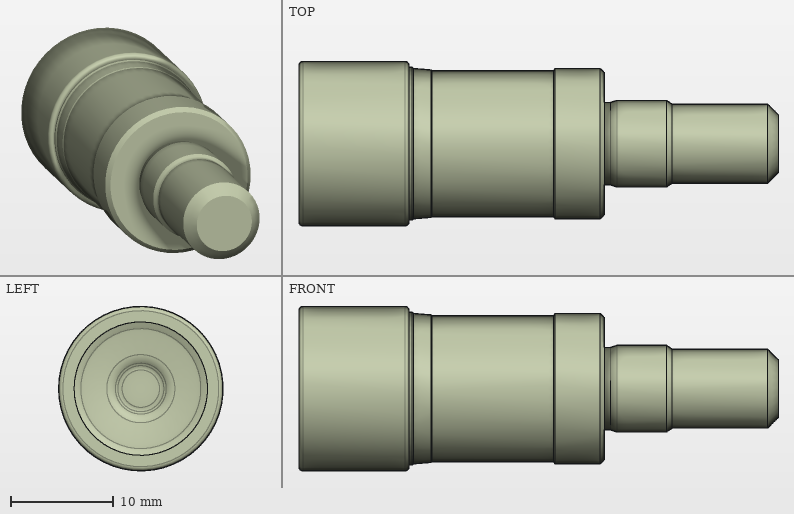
import cadquery as cq

CAP_BACK = 10.8
FLANGE_END = 11.1
TAPER_START = 11.25
TAPER_END = 12.9
BARREL_START = 13.05
BARREL_END = 24.95
COLLAR_START = 25.1
COLLAR_END = 29.95
RELIEF_END = 30.5
SHOULDER_START = 31.15
SHOULDER_END = 36.0
SHANK_START = 36.55
TOTAL_LENGTH = 47.0

CAP_RADIUS = 16.1 / 2
CAP_EDGE = 0.4
RECESS_MOUTH_RADIUS = 6.55
RECESS_FLOOR_RADIUS = 5.87
RECESS_DEPTH = 0.3
DISH_INNER_RADIUS = 3.35
DISH_INNER_DEPTH = 0.55
LIP_END_RADIUS = 2.5
LIP_DROP = 0.35
DIMPLE_CONE_RADIUS = 2.25
DIMPLE_CONE_DEPTH = 1.0
DIMPLE_FLOOR_RADIUS = 1.85
DIMPLE_DEPTH = 1.05

FLANGE_RADIUS = 15.0 / 2
TAPER_RADIUS = 14.75 / 2
TAPER_END_RADIUS = 7.25
BARREL_RADIUS = 14.35 / 2
COLLAR_RADIUS = 14.75 / 2
COLLAR_CHAMFER = 0.4
RELIEF_RADIUS = 4.05
SHOULDER_RADIUS = 8.5 / 2
SHANK_RADIUS = 7.75 / 2
SHANK_CHAMFER = 1.1


def revolve_about_x(profile):
    """Spin a closed half profile (x, radius) a full turn about the X axis."""
    return profile.close().revolve(360, (0, 0, 0), (1, 0, 0))


def make_cap():
    """Round pad whose front is dished, with a rounded-lip dimple at its centre."""
    profile = (
        cq.Workplane("XY")
        .moveTo(0, RECESS_MOUTH_RADIUS)
        .lineTo(RECESS_DEPTH, RECESS_FLOOR_RADIUS)
        .lineTo(DISH_INNER_DEPTH, DISH_INNER_RADIUS)
        .tangentArcPoint((DISH_INNER_DEPTH + LIP_DROP, LIP_END_RADIUS), relative=False)
        .lineTo(DIMPLE_CONE_DEPTH, DIMPLE_CONE_RADIUS)
        .tangentArcPoint((DIMPLE_DEPTH, DIMPLE_FLOOR_RADIUS), relative=False)
        .lineTo(DIMPLE_DEPTH, 0)
        .lineTo(CAP_BACK, 0)
        .lineTo(CAP_BACK, CAP_RADIUS)
        .lineTo(0, CAP_RADIUS)
    )
    cap = revolve_about_x(profile)
    outer_rims = cq.selectors.RadiusNthSelector(-1)
    return cap.edges("%CIRCLE").edges(outer_rims).fillet(CAP_EDGE)


def make_plunger():
    """Turned body seated against the cap, with a collar and a stepped shank."""
    outline = [
        (CAP_BACK, 0),
        (CAP_BACK, FLANGE_RADIUS),
        (FLANGE_END, FLANGE_RADIUS),
        (TAPER_START, TAPER_RADIUS),
        (TAPER_END, TAPER_END_RADIUS),
        (BARREL_START, BARREL_RADIUS),
        (BARREL_END, BARREL_RADIUS),
        (COLLAR_START, COLLAR_RADIUS),
        (COLLAR_END - COLLAR_CHAMFER, COLLAR_RADIUS),
        (COLLAR_END, COLLAR_RADIUS - COLLAR_CHAMFER),
        (COLLAR_END, RELIEF_RADIUS),
        (RELIEF_END, RELIEF_RADIUS),
        (SHOULDER_START, SHOULDER_RADIUS),
        (SHOULDER_END, SHOULDER_RADIUS),
        (SHANK_START, SHANK_RADIUS),
        (TOTAL_LENGTH - SHANK_CHAMFER, SHANK_RADIUS),
        (TOTAL_LENGTH, SHANK_RADIUS - SHANK_CHAMFER),
        (TOTAL_LENGTH, 0),
    ]
    return revolve_about_x(cq.Workplane("XY").polyline(outline))


cap = make_cap()
plunger = make_plunger()

result = cq.Compound.makeCompound([cap.val(), plunger.val()])